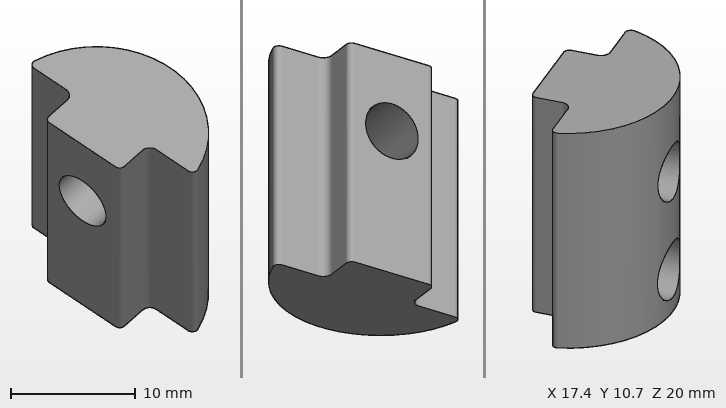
import cadquery as cq

length = 20.0
depth = 10.7
neck_width = 8.0
neck_height = 3.5
dome_radius = 9.0
flange_edge_radius = 0.5
neck_edge_radius = 0.5
neck_root_radius = 0.8

through_diameter = 4.98
through_z = 13.0
blind_diameter = 5.1
blind_z = 3.9
blind_depth = 6.0

neck_face_y = -depth / 2
shoulder_y = neck_face_y + neck_height
back_y = depth / 2
dome_center_y = back_y - dome_radius


def make_body():
    """Extrude the domed flange and the neck, round their edges and the corners between them."""
    dome = cq.Workplane("XY").center(0, dome_center_y).circle(dome_radius).extrude(length)
    flange_height = back_y - shoulder_y
    flange_band = (
        cq.Workplane("XY")
        .center(0, shoulder_y + flange_height / 2)
        .rect(2 * dome_radius, flange_height)
        .extrude(length)
    )
    flange = dome.intersect(flange_band)
    flange = flange.faces("<Y").edges("|Z").fillet(flange_edge_radius)

    neck = (
        cq.Workplane("XY")
        .center(0, neck_face_y + neck_height / 2)
        .rect(neck_width, neck_height)
        .extrude(length)
    )
    neck = neck.faces("<Y").edges("|Z").fillet(neck_edge_radius)
    body = flange.union(neck)
    half_neck = neck_width / 2
    margin = 0.2
    roots = cq.selectors.BoxSelector(
        (-half_neck - margin, shoulder_y - margin, -margin),
        (half_neck + margin, shoulder_y + margin, length + margin),
    )
    return body.edges("|Z").edges(roots).fillet(neck_root_radius)


def hole_from_back(diameter, z, hole_depth):
    """Cylinder that enters the domed back and runs toward -Y."""
    return (
        cq.Workplane("XZ", origin=(0, back_y, z))
        .circle(diameter / 2)
        .extrude(hole_depth)
    )


result = (
    make_body()
    .cut(hole_from_back(through_diameter, through_z, depth))
    .cut(hole_from_back(blind_diameter, blind_z, blind_depth))
)